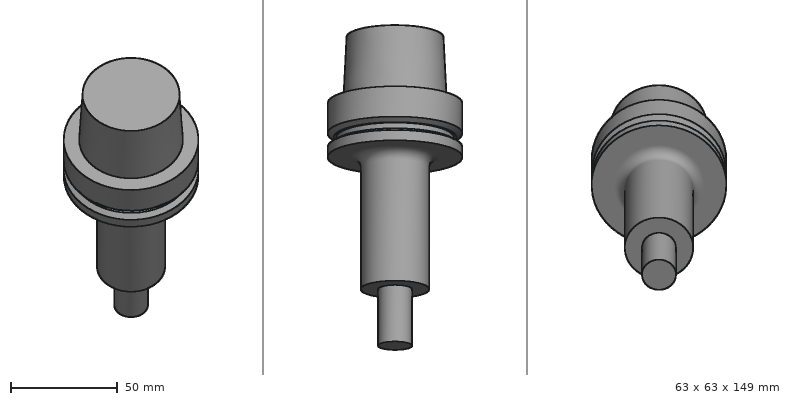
import cadquery as cq

total_length = 149.0

pin_diameter = 16.0
pin_length = 27.3
shank_diameter = 32.0
shank_top = 91.0
fillet_radius = 4.9

flange_diameter = 63.0
flange_top = 117.1
lower_rim_height = 4.9
groove_diameter = 55.0
groove_mouth_diameter = 57.4
groove_bottom = 97.6
groove_top = 100.6
upper_rim_bottom = 102.5

taper_base_diameter = 48.5
taper_tip_diameter = 45.5

pin_radius = pin_diameter / 2
shank_radius = shank_diameter / 2
flange_radius = flange_diameter / 2
groove_radius = groove_diameter / 2
groove_mouth_radius = groove_mouth_diameter / 2
fillet_start = shank_top - fillet_radius
lower_rim_top = shank_top + lower_rim_height

half_section = (
    cq.Workplane("XZ")
    .lineTo(pin_radius, 0)
    .lineTo(pin_radius, pin_length)
    .lineTo(shank_radius, pin_length)
    .lineTo(shank_radius, fillet_start)
    .radiusArc((shank_radius + fillet_radius, shank_top), fillet_radius)
    .lineTo(flange_radius, shank_top)
    .lineTo(flange_radius, lower_rim_top)
    .lineTo(groove_mouth_radius, groove_bottom)
    .lineTo(groove_radius, groove_bottom)
    .lineTo(groove_radius, groove_top)
    .lineTo(groove_mouth_radius, groove_top)
    .lineTo(flange_radius, upper_rim_bottom)
    .lineTo(flange_radius, flange_top)
    .lineTo(taper_base_diameter / 2, flange_top)
    .lineTo(taper_tip_diameter / 2, total_length)
    .lineTo(0, total_length)
    .close()
)

result = half_section.revolve(360, (0, 0, 0), (0, 1, 0))